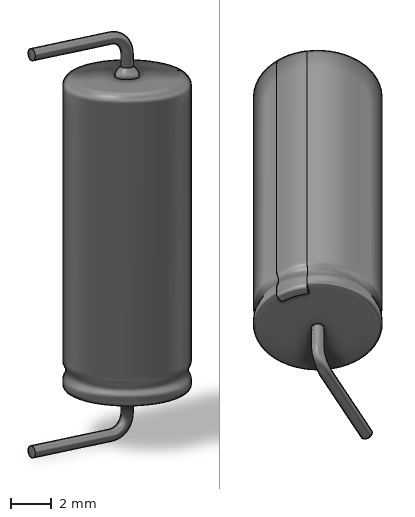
import cadquery as cq
import math

total_height = 20.92
can_diameter = 6.3
can_radius = can_diameter / 2
lead_diameter = 0.6
lead_radius = lead_diameter / 2
lead_reach = 5.75
bend_radius = 0.98

can_bottom = 2.5
can_top = 18.5
top_fillet = 0.5
bottom_fillet = 0.27

groove_center = 3.47
groove_depth = 0.15
groove_half_height = 0.52
waist_half_height = 0.27
waist_inset = 0.073
shoulder_inset = 0.019

collar_radius = 0.6
collar_height = 0.5
collar_bulge = 0.75

strip_angle = 30
strip_thickness = 0.01
tab_radius = 0.3
tab_drop = 0.25

diagonal = math.sqrt(0.5)


def outer_wall(profile, radius):
    """Continue a half-profile up the grooved wall and around the top edge."""
    waist_radius = radius - waist_inset
    shoulder_offset = (groove_half_height + waist_half_height) / 2
    return (
        profile.lineTo(radius, groove_center - groove_half_height)
        .threePointArc((radius - shoulder_inset, groove_center - shoulder_offset),
                       (waist_radius, groove_center - waist_half_height))
        .threePointArc((radius - groove_depth, groove_center),
                       (waist_radius, groove_center + waist_half_height))
        .threePointArc((radius - shoulder_inset, groove_center + shoulder_offset),
                       (radius, groove_center + groove_half_height))
        .lineTo(radius, can_top - top_fillet)
        .threePointArc((radius - top_fillet * (1 - diagonal),
                        can_top - top_fillet * (1 - diagonal)),
                       (radius - top_fillet, can_top))
    )


def make_can():
    corner = bottom_fillet * (1 - diagonal)
    profile = (
        cq.Workplane("XZ")
        .moveTo(0, can_bottom)
        .lineTo(can_radius - bottom_fillet, can_bottom)
        .threePointArc((can_radius - corner, can_bottom + corner),
                       (can_radius, can_bottom + bottom_fillet))
    )
    return outer_wall(profile, can_radius).lineTo(0, can_top).close().revolve()


def make_strip():
    """Thin sleeve sector over the wall, ending in a rounded tab under the can."""
    radius = can_radius + strip_thickness
    tab_center = can_bottom - tab_drop + tab_radius
    inner_radius = radius - 2 * tab_radius
    profile = (
        cq.Workplane("XZ")
        .moveTo(inner_radius, tab_center)
        .threePointArc((radius - tab_radius, can_bottom - tab_drop), (radius, tab_center))
    )
    sector = (
        outer_wall(profile, radius)
        .lineTo(inner_radius, can_top)
        .close()
        .revolve(strip_angle, (0, 0), (0, 1))
    )
    middle = sector.val().Center()
    turn = 90 - math.degrees(math.atan2(middle.y, middle.x))
    return sector.rotate((0, 0, 0), (0, 0, 1), turn)


def make_lead(can_face, axis_height):
    """Wire leaving a can end axially and bending toward -Y at axis_height."""
    outward = math.copysign(1, axis_height - can_face)
    bend_start = axis_height - outward * bend_radius
    path = (
        cq.Workplane("YZ")
        .moveTo(0, can_face)
        .lineTo(0, bend_start)
        .threePointArc((-bend_radius * (1 - diagonal),
                        bend_start + outward * bend_radius * diagonal),
                       (-bend_radius, axis_height))
        .lineTo(-lead_reach, axis_height)
    )
    return cq.Workplane("XY", origin=(0, 0, can_face)).circle(lead_radius).sweep(path)


def make_collar():
    """Domed collar narrowing to the lead diameter."""
    middle_radius = lead_radius + (collar_radius - lead_radius) * collar_bulge
    return (
        cq.Workplane("XZ")
        .moveTo(0, can_top)
        .lineTo(collar_radius, can_top)
        .threePointArc((middle_radius, can_top + collar_height / 2),
                       (lead_radius, can_top + collar_height))
        .lineTo(0, can_top + collar_height)
        .close()
        .revolve()
    )


result = (
    make_can()
    .union(make_strip())
    .union(make_collar())
    .union(make_lead(can_bottom, lead_radius))
    .union(make_lead(can_top, total_height - lead_radius))
)